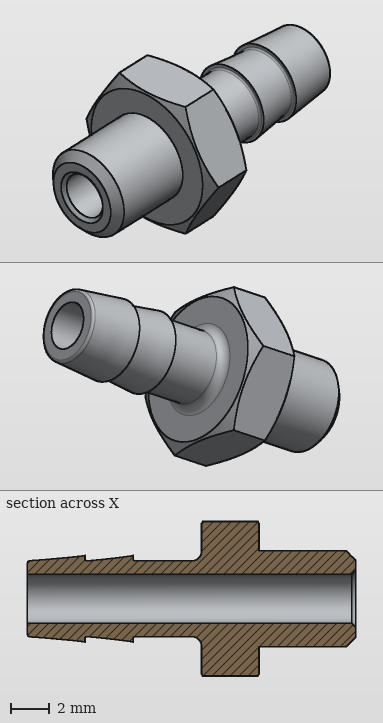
import cadquery as cq
import math

total_length = 17.0
spigot_length = 5.0
spigot_radius = 2.5
spigot_chamfer = 0.5

hex_thickness = 3.0
hex_across_flats = 8.0
hex_face_radius = 3.9
hex_chamfer_angle = 30.0

stem_radius = 1.97
stem_root_fillet = 0.5
barb_radius = 2.25
tip_barb_length = 3.0
barb_pitch = 2.5
barb_count = 2
barb_root_fillet = 0.1
tip_fillet = 0.15

bore_radius = 1.25
bore_chamfer = 0.2

y_spigot_end = -total_length / 2
y_hex_front = y_spigot_end + spigot_length
y_hex_back = y_hex_front + hex_thickness
y_tip = total_length / 2


def revolve_about_y(profile):
    """Turn an XY half profile a full turn about the Y axis."""
    return profile.close().revolve(360, (0, 0, 0), (0, 1, 0))


def make_spigot():
    spigot = (
        cq.Workplane("XY")
        .moveTo(0, y_spigot_end)
        .lineTo(spigot_radius - spigot_chamfer, y_spigot_end)
        .lineTo(spigot_radius, y_spigot_end + spigot_chamfer)
        .lineTo(spigot_radius, y_hex_front)
        .lineTo(0, y_hex_front)
    )
    return revolve_about_y(spigot)


def make_hexagon():
    """Hexagon with corners on X, its corners chamfered by cones on both faces."""
    corner_radius = hex_across_flats / math.sqrt(3)
    chamfer_drop = (corner_radius - hex_face_radius) * math.tan(math.radians(hex_chamfer_angle))
    prism = (
        cq.Workplane("XZ", origin=(0, y_hex_front, 0))
        .polygon(6, 2 * corner_radius)
        .extrude(-hex_thickness)
    )
    envelope = (
        cq.Workplane("XY")
        .moveTo(0, y_hex_front)
        .lineTo(hex_face_radius, y_hex_front)
        .lineTo(corner_radius, y_hex_front + chamfer_drop)
        .lineTo(corner_radius, y_hex_back - chamfer_drop)
        .lineTo(hex_face_radius, y_hex_back)
        .lineTo(0, y_hex_back)
    )
    return prism.intersect(revolve_about_y(envelope))


def make_barbed_stem():
    arc_reach = 1 - math.sqrt(0.5)
    root = stem_root_fillet
    profile = (
        cq.Workplane("XY")
        .moveTo(0, y_hex_back)
        .lineTo(stem_radius + root, y_hex_back)
        .threePointArc(
            (stem_radius + arc_reach * root, y_hex_back + arc_reach * root),
            (stem_radius, y_hex_back + root),
        )
    )
    root = barb_root_fillet
    for barbs_beyond in reversed(range(barb_count)):
        y_edge = y_tip - tip_barb_length - barbs_beyond * barb_pitch
        profile = (
            profile.lineTo(stem_radius, y_edge - root)
            .threePointArc(
                (stem_radius + arc_reach * root, y_edge - arc_reach * root),
                (stem_radius + root, y_edge),
            )
            .lineTo(barb_radius, y_edge)
        )
    profile = profile.lineTo(stem_radius, y_tip).lineTo(0, y_tip)
    return revolve_about_y(profile).faces(">Y").edges().fillet(tip_fillet)


def make_bore():
    bore = (
        cq.Workplane("XY")
        .moveTo(0, y_spigot_end)
        .lineTo(bore_radius + bore_chamfer, y_spigot_end)
        .lineTo(bore_radius, y_spigot_end + bore_chamfer)
        .lineTo(bore_radius, y_tip)
        .lineTo(0, y_tip)
    )
    return revolve_about_y(bore)


result = make_spigot().union(make_hexagon()).union(make_barbed_stem()).cut(make_bore())